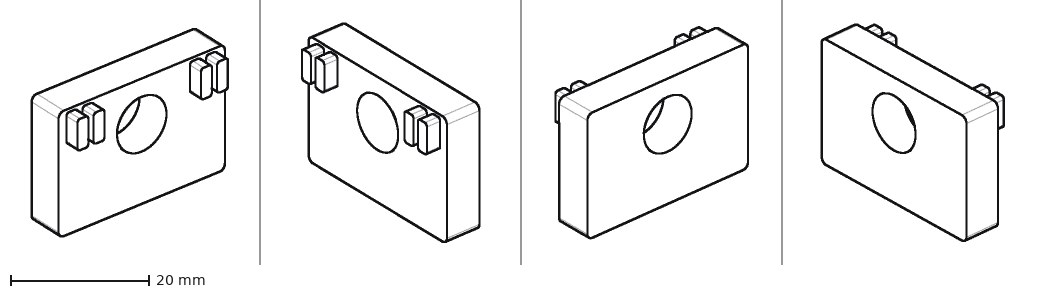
import cadquery as cq

plate_thickness = 6.2
plate_width = 31.0
plate_height = 21.1
plate_corner_radius = 1.0

hole_diameter = 9.2
hole_depth_from_top = 7.7
hole_center_z = plate_height - hole_depth_from_top

prong_length = 2.5
prong_width = 2.0
prong_height = 5.27
prong_corner_radius = 0.5
prong_top_gap = 0.6
prong_pair_center_y = 11.5
prong_pitch = 3.0
prong_center_z = plate_height - prong_top_gap - prong_height / 2


def rounded_bar(length, width, height, corner_radius):
    """Bar running along +X from X = 0, with its four long edges rounded."""
    bar = cq.Workplane("XY").box(length, width, height, centered=(False, True, True))
    return bar.edges("|X").fillet(corner_radius)


def make_plate():
    plate = rounded_bar(plate_thickness, plate_width, plate_height, plate_corner_radius)
    plate = plate.translate((0, 0, plate_height / 2))
    hole = cq.Workplane("YZ").center(0, hole_center_z).circle(hole_diameter / 2).extrude(plate_thickness)
    return plate.cut(hole)


def make_prong(center_y):
    root_depth = plate_thickness / 2
    prong = rounded_bar(root_depth + prong_length, prong_width, prong_height, prong_corner_radius)
    return prong.translate((plate_thickness - root_depth, center_y, prong_center_z))


result = make_plate()
for end in (-1, 1):
    for side in (-1, 1):
        prong_center_y = end * prong_pair_center_y + side * prong_pitch / 2
        result = result.union(make_prong(prong_center_y))